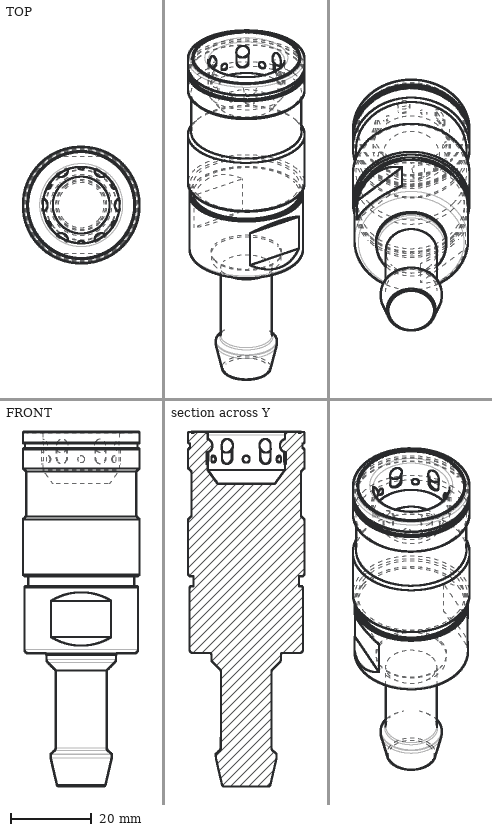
import cadquery as cq
import math

TOTAL_HEIGHT = 88.0
SLEEVE_RADIUS = 14.5
EDGE_TOLERANCE = 0.01

BARB_TIP_RADIUS = 6.05
BARB_TIP_CHAMFER = 0.4
BARB_RADIUS = 7.6
BARB_TAPER_TOP = 7.1
BARB_SHOULDER = 8.05
BARB_EDGE_FILLET = 0.25
STEM_RADIUS = 6.35
BARB_SHOULDER_HEIGHT = 1.15
STEM_BOTTOM = BARB_SHOULDER + BARB_SHOULDER_HEIGHT
STEM_ROOT_FILLET = 0.7
STEM_TOP = 28.8

COLLAR_RADIUS = 8.65
COLLAR_BOTTOM = STEM_TOP + COLLAR_RADIUS - STEM_RADIUS
COLLAR_FILLET = 1.0
COLLAR_FLARE_HEIGHT = 0.4
COLLAR_FLARE = 0.15

BODY_RADIUS = 14.12
BODY_BOTTOM = 33.0
BODY_TOP = 49.7
BODY_BOTTOM_FILLET = 1.0
BODY_TOP_CHAMFER = 0.3
FLATS_WIDTH = 24.0
FLAT_BOTTOM = 37.05
FLAT_TOP = 46.05

NECK_RADIUS = 13.2

SLEEVE_BOTTOM = 52.1
SLEEVE_BOTTOM_CHAMFER = 0.5
WAIST_RADIUS = 13.7
WAIST_BOTTOM = 67.0
WAIST_TOP = 78.1
WAIST_CHAMFER = SLEEVE_RADIUS - WAIST_RADIUS
GROOVE_RADIUS = 14.0
GROOVE_BOTTOM = 83.9
GROOVE_TOP = 85.0
GROOVE_CHAMFER = 0.3
RIM_FILLET = 0.45

FACE_GROOVE_OUTER_RADIUS = 13.4
FACE_GROOVE_WIDTH = 0.25
FACE_GROOVE_DEPTH = 0.3

SOCKET_RADIUS = 9.5
SOCKET_LIP_FILLET = 0.8
SEAT_TOP = 78.45
SEAT_RADIUS = 7.05
SEAT_ANGLE = 54.0
SEAT_HEIGHT = (SOCKET_RADIUS - SEAT_RADIUS) * math.tan(math.radians(SEAT_ANGLE))

BALL_COUNT = 6
BALL_SPACING = 360.0 / BALL_COUNT
LOCK_BALL_RADIUS = 1.75
LOCK_BALL_CENTRE = 10.05
LOCK_BALL_Z = 84.5
SLOT_WIDTH = 3.0
SLOT_BOTTOM_Z = 81.5
SLOT_DEPTH = 0.3
DETENT_BALL_RADIUS = 0.9
DETENT_BALL_CENTRE = 9.73
DETENT_BALL_Z = 81.15


def fillet_ring(body, z, radius):
    """Round the single circular edge of a turned body that lies at height z."""
    low = (-SLEEVE_RADIUS, -SLEEVE_RADIUS, z - EDGE_TOLERANCE)
    high = (SLEEVE_RADIUS, SLEEVE_RADIUS, z + EDGE_TOLERANCE)
    return body.edges(cq.selectors.BoxSelector(low, high)).fillet(radius)


def make_outer_body():
    """Turned outline from the barb tip up to the sleeve rim."""
    profile = (
        cq.Workplane("XZ")
        .lineTo(BARB_TIP_RADIUS - BARB_TIP_CHAMFER, 0)
        .lineTo(BARB_TIP_RADIUS, BARB_TIP_CHAMFER)
        .lineTo(BARB_RADIUS, BARB_TAPER_TOP)
        .lineTo(BARB_RADIUS, BARB_SHOULDER)
        .lineTo(STEM_RADIUS, STEM_BOTTOM)
        .lineTo(STEM_RADIUS, STEM_TOP)
        .lineTo(COLLAR_RADIUS, COLLAR_BOTTOM)
        .lineTo(COLLAR_RADIUS, BODY_BOTTOM - COLLAR_FLARE_HEIGHT)
        .lineTo(COLLAR_RADIUS + COLLAR_FLARE, BODY_BOTTOM)
        .lineTo(BODY_RADIUS - BODY_BOTTOM_FILLET, BODY_BOTTOM)
        .radiusArc((BODY_RADIUS, BODY_BOTTOM + BODY_BOTTOM_FILLET), -BODY_BOTTOM_FILLET)
        .lineTo(BODY_RADIUS, BODY_TOP - BODY_TOP_CHAMFER)
        .lineTo(BODY_RADIUS - BODY_TOP_CHAMFER, BODY_TOP)
        .lineTo(NECK_RADIUS, BODY_TOP)
        .lineTo(NECK_RADIUS, SLEEVE_BOTTOM)
        .lineTo(SLEEVE_RADIUS - SLEEVE_BOTTOM_CHAMFER, SLEEVE_BOTTOM)
        .lineTo(SLEEVE_RADIUS, SLEEVE_BOTTOM + SLEEVE_BOTTOM_CHAMFER)
        .lineTo(SLEEVE_RADIUS, WAIST_BOTTOM - WAIST_CHAMFER)
        .lineTo(WAIST_RADIUS, WAIST_BOTTOM)
        .lineTo(WAIST_RADIUS, WAIST_TOP)
        .lineTo(SLEEVE_RADIUS, WAIST_TOP + WAIST_CHAMFER)
        .lineTo(SLEEVE_RADIUS, GROOVE_BOTTOM - GROOVE_CHAMFER)
        .lineTo(SLEEVE_RADIUS - GROOVE_CHAMFER, GROOVE_BOTTOM)
        .lineTo(GROOVE_RADIUS, GROOVE_BOTTOM)
        .lineTo(GROOVE_RADIUS, GROOVE_TOP)
        .lineTo(SLEEVE_RADIUS - GROOVE_CHAMFER, GROOVE_TOP)
        .lineTo(SLEEVE_RADIUS, GROOVE_TOP + GROOVE_CHAMFER)
        .lineTo(SLEEVE_RADIUS, TOTAL_HEIGHT - RIM_FILLET)
        .radiusArc((SLEEVE_RADIUS - RIM_FILLET, TOTAL_HEIGHT), -RIM_FILLET)
        .lineTo(0, TOTAL_HEIGHT)
        .close()
    )
    body = profile.revolve(360, (0, 0, 0), (0, 1, 0))
    body = fillet_ring(body, BARB_SHOULDER, BARB_EDGE_FILLET)
    body = fillet_ring(body, STEM_BOTTOM, STEM_ROOT_FILLET)
    return fillet_ring(body, COLLAR_BOTTOM, COLLAR_FILLET)


def make_face_groove():
    return (
        cq.Workplane("XY")
        .workplane(offset=TOTAL_HEIGHT)
        .circle(FACE_GROOVE_OUTER_RADIUS)
        .circle(FACE_GROOVE_OUTER_RADIUS - FACE_GROOVE_WIDTH)
        .extrude(-FACE_GROOVE_DEPTH)
    )


def make_socket():
    """Bore with a rounded lip, a conical seat and a flat floor."""
    floor_z = SEAT_TOP - SEAT_HEIGHT
    lip_radius = SOCKET_RADIUS + SOCKET_LIP_FILLET
    profile = (
        cq.Workplane("XZ")
        .moveTo(0, floor_z)
        .lineTo(SEAT_RADIUS, floor_z)
        .lineTo(SOCKET_RADIUS, SEAT_TOP)
        .lineTo(SOCKET_RADIUS, TOTAL_HEIGHT - SOCKET_LIP_FILLET)
        .radiusArc((lip_radius, TOTAL_HEIGHT), SOCKET_LIP_FILLET)
        .lineTo(0, TOTAL_HEIGHT)
        .close()
    )
    return profile.revolve(360, (0, 0, 0), (0, 1, 0))


def make_flat_cut():
    """Wrench flat on the -Y side, with 45 degree walls above and below."""
    flat_y = -FLATS_WIDTH / 2
    run_out = BODY_RADIUS - FLATS_WIDTH / 2
    return (
        cq.Workplane("YZ")
        .moveTo(flat_y, FLAT_BOTTOM)
        .lineTo(flat_y, FLAT_TOP)
        .lineTo(flat_y - run_out, FLAT_TOP + run_out)
        .lineTo(flat_y - run_out, FLAT_BOTTOM - run_out)
        .close()
        .extrude(BODY_RADIUS, both=True)
    )


def make_slot():
    """Shallow upright slot in the socket wall, on the +X side."""
    slot_length = LOCK_BALL_Z - SLOT_BOTTOM_Z + SLOT_WIDTH
    return (
        cq.Workplane("YZ")
        .center(0, (LOCK_BALL_Z + SLOT_BOTTOM_Z) / 2)
        .slot2D(slot_length, SLOT_WIDTH, 90)
        .extrude(SOCKET_RADIUS + SLOT_DEPTH)
    )


def make_ball(radius, centre_radius, z):
    return cq.Workplane("XY").sphere(radius).translate((centre_radius, 0, z))


def turned(shape, angle):
    return shape.rotate((0, 0, 0), (0, 0, 1), angle)


result = make_outer_body().cut(make_face_groove()).cut(make_socket())

for side_angle in (0, 180):
    result = result.cut(turned(make_flat_cut(), side_angle))

for index in range(BALL_COUNT):
    lock_angle = index * BALL_SPACING
    detent_angle = lock_angle + BALL_SPACING / 2
    lock_ball = make_ball(LOCK_BALL_RADIUS, LOCK_BALL_CENTRE, LOCK_BALL_Z)
    detent_ball = make_ball(DETENT_BALL_RADIUS, DETENT_BALL_CENTRE, DETENT_BALL_Z)
    result = result.cut(turned(make_slot(), lock_angle))
    result = result.union(turned(lock_ball, lock_angle))
    result = result.union(turned(detent_ball, detent_angle))